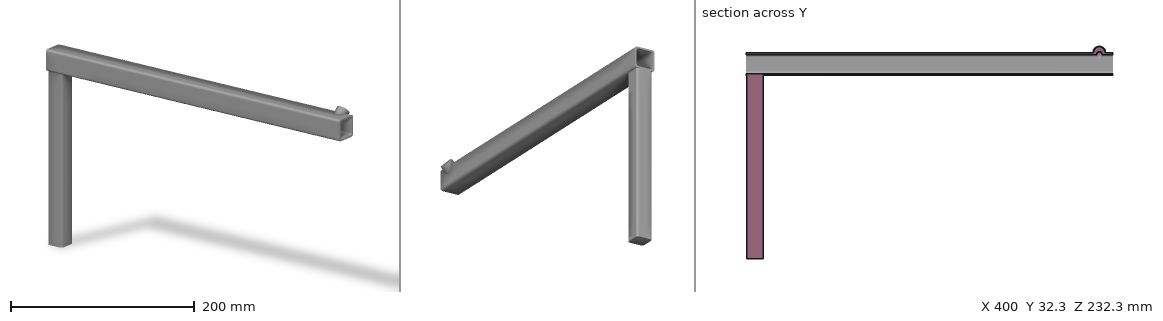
import cadquery as cq
import math

corner_radius = 3.0

arm_length = 400.0
arm_size = 25.0
arm_wall = 2.0

leg_length = 200.0
leg_size = 20.0
leg_overlap = arm_wall / 2

boss_diameter = 15.0
boss_hole_diameter = 6.0
boss_tilt = 45.0
boss_end_distance = 15.0
boss_reach = 7.34

arm_center_z = leg_length + arm_size / 2


def make_arm_bar(size):
    """Solid bar with the arm's length and centre line."""
    section = cq.Workplane("YZ", origin=(0, 0, arm_center_z)).rect(size, size)
    return section.extrude(arm_length).edges("|X").fillet(corner_radius)


def make_leg():
    """Upright bar from Z = 0 into the arm's lower wall."""
    section = cq.Workplane("XY").center(leg_size / 2, 0).rect(leg_size, leg_size)
    return section.extrude(leg_length + leg_overlap).edges("|Z").fillet(corner_radius)


def make_boss_cylinder(diameter):
    """Cylinder from the boss's outer face, along its tilted axis, to the arm's centre line."""
    tilt = math.radians(boss_tilt)
    face_offset = boss_reach - boss_diameter / 2 * math.cos(tilt)
    center_offset = arm_size / 2 + face_offset
    face_center = (arm_length - boss_end_distance, center_offset, arm_center_z + center_offset)
    inward = (0, -math.sin(tilt), -math.cos(tilt))
    inward_plane = cq.Plane(origin=face_center, xDir=(1, 0, 0), normal=inward)
    return cq.Workplane(inward_plane).circle(diameter / 2).extrude(math.hypot(center_offset, center_offset))


arm_cavity = make_arm_bar(arm_size - 2 * arm_wall)
outer_body = make_arm_bar(arm_size).union(make_leg())
outer_body = outer_body.union(make_boss_cylinder(boss_diameter))
result = outer_body.cut(arm_cavity).cut(make_boss_cylinder(boss_hole_diameter))